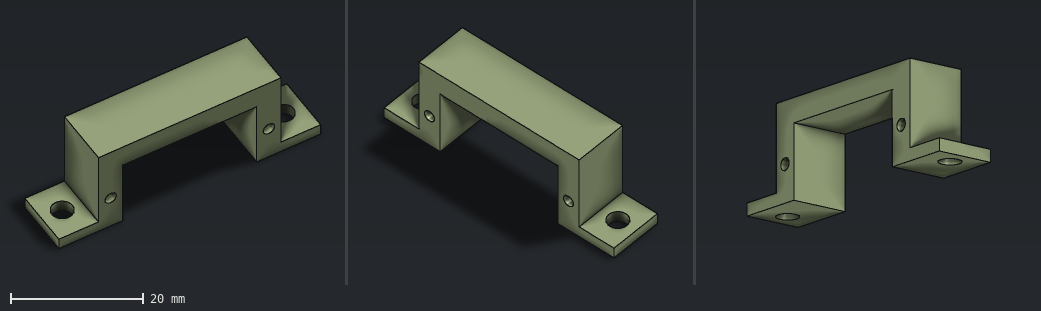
import cadquery as cq

width = 10.0
length = 46.3
height = 16.2

body_length = 32.25
opening_length = 23.65
top_thickness = 4.05
foot_thickness = 2.1

mount_hole_diameter = 3.6
mount_hole_spacing = 39.1
cross_hole_diameter = 2.0
cross_hole_height = 6.15
cross_hole_spacing = (body_length + opening_length) / 2


def block(y_size, z_size):
    """Full-width block centred on X and Y, standing on the base plane."""
    return cq.Workplane("XY").box(width, y_size, z_size, centered=(True, True, False))


feet = block(length, foot_thickness)
bridge = block(body_length, height)
opening = block(opening_length, height - top_thickness)
result = feet.union(bridge).cut(opening)

for side in (-1, 1):
    mount_hole = (
        cq.Workplane("XY")
        .center(0, side * mount_hole_spacing / 2)
        .circle(mount_hole_diameter / 2)
        .extrude(foot_thickness)
    )
    cross_hole = (
        cq.Workplane("YZ")
        .center(side * cross_hole_spacing / 2, cross_hole_height)
        .circle(cross_hole_diameter / 2)
        .extrude(width / 2, both=True)
    )
    result = result.cut(mount_hole).cut(cross_hole)